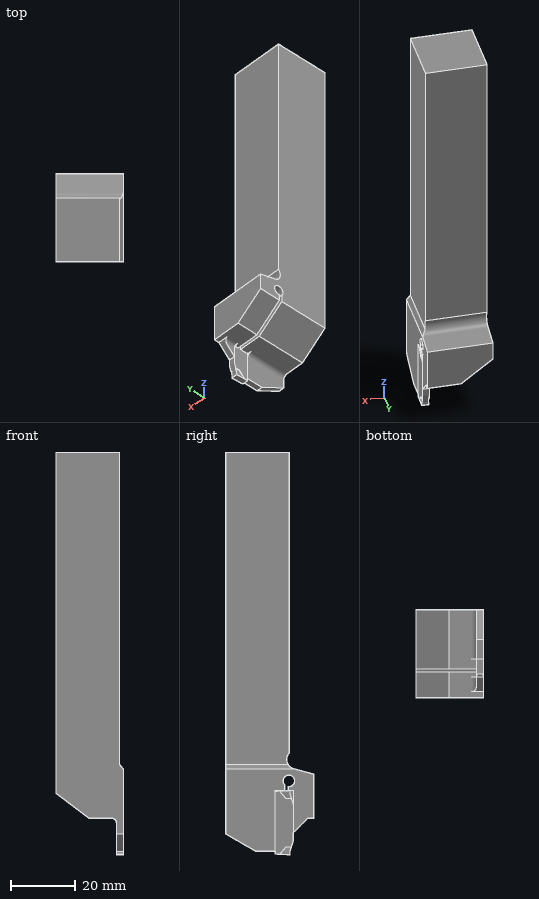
import cadquery as cq
import math

TOTAL_LENGTH = 125.0
SHANK_WIDTH = 19.8
SHANK_HEIGHT = 19.8
HEAD_WIDTH = 21.0
HEAD_HEIGHT = 27.4

BLOCK_BOTTOM_Z = 11.4
SIDE_BEVEL_WIDTH = 10.2
SIDE_BEVEL_TOP_Z = 19.1
STEP_BOTTOM_Z = 26.6
STEP_TOP_Z = 28.1

NOTCH_RADIUS = 3.0
NOTCH_DEPTH = 0.8
HEAD_CORNER_Z = 25.1
HEAD_SLOPE = math.radians(15)

BLADE_THICKNESS = 2.2
BLADE_BOTTOM_Z = 1.1
BLADE_FILLET = 1.5
HEEL_TOP_Z = 6.5
HEEL_SLOPE = math.radians(30)
JAW_START_Y = 25.5

CLAMP_HOLE_RADIUS = 1.8
CLAMP_HOLE_Y = 19.6
CLAMP_HOLE_Z = 23.0
SLOT_WIDTH = 1.0
SLOT_CENTRE_Y = 18.9

INSERT_LENGTH = 20.0
INSERT_SEAT_Y = 15.4
INSERT_TOP_Y = 21.0
INSERT_TIP_Y = 20.0
INSERT_HEEL_RISE = 0.2
RAKE_LAND = 1.1
RAKE_END = 4.2
FLANK_START = 0.5
FLANK_END = 2.5
FLANK_SEAT_Y = 17.0
FLANK_STEP_Y = 18.8
FLANK_DEPTH = 0.19

BLADE_X = HEAD_WIDTH - BLADE_THICKNESS


def front_body():
    """Outline in X and Z: shank, stepped head, bevelled block and thin blade."""
    return (
        cq.Workplane("XZ")
        .moveTo(0, TOTAL_LENGTH)
        .lineTo(0, SIDE_BEVEL_TOP_Z)
        .lineTo(SIDE_BEVEL_WIDTH, BLOCK_BOTTOM_Z)
        .lineTo(BLADE_X - BLADE_FILLET, BLOCK_BOTTOM_Z)
        .radiusArc((BLADE_X, BLOCK_BOTTOM_Z - BLADE_FILLET), BLADE_FILLET)
        .lineTo(BLADE_X, 0)
        .lineTo(HEAD_WIDTH, 0)
        .lineTo(HEAD_WIDTH, STEP_BOTTOM_Z)
        .lineTo(SHANK_WIDTH, STEP_TOP_Z)
        .lineTo(SHANK_WIDTH, TOTAL_LENGTH)
        .close()
        .extrude(-HEAD_HEIGHT)
    )


def side_body():
    """Outline in Y and Z: shank, relief notch, head, clamping jaw and blade heel."""
    centre_y = SHANK_HEIGHT - NOTCH_DEPTH + NOTCH_RADIUS
    tangent_y = centre_y - NOTCH_RADIUS * math.sin(HEAD_SLOPE)
    tangent_z = HEAD_CORNER_Z + (HEAD_HEIGHT - tangent_y) * math.tan(HEAD_SLOPE)
    centre_z = tangent_z + NOTCH_RADIUS * math.cos(HEAD_SLOPE)
    notch_top_z = centre_z + math.sqrt(NOTCH_RADIUS**2 - (centre_y - SHANK_HEIGHT) ** 2)

    heel_length = (HEEL_TOP_Z - BLADE_BOTTOM_Z) / math.tan(HEEL_SLOPE)
    jaw_drop = JAW_START_Y - INSERT_TOP_Y

    return (
        cq.Workplane("YZ")
        .moveTo(0, TOTAL_LENGTH)
        .lineTo(SHANK_HEIGHT, TOTAL_LENGTH)
        .lineTo(SHANK_HEIGHT, notch_top_z)
        .threePointArc((centre_y - NOTCH_RADIUS, centre_z), (tangent_y, tangent_z))
        .lineTo(HEAD_HEIGHT, HEAD_CORNER_Z)
        .lineTo(HEAD_HEIGHT, BLOCK_BOTTOM_Z)
        .lineTo(JAW_START_Y, BLOCK_BOTTOM_Z)
        .lineTo(INSERT_TOP_Y, BLOCK_BOTTOM_Z - jaw_drop)
        .lineTo(INSERT_TOP_Y, BLADE_BOTTOM_Z)
        .lineTo(heel_length, BLADE_BOTTOM_Z)
        .lineTo(0, HEEL_TOP_Z)
        .close()
        .extrude(HEAD_WIDTH)
    )


def box_between(low, high):
    """Box spanning two opposite corners."""
    size = [b - a for a, b in zip(low, high)]
    return cq.Workplane("XY").box(*size, centered=False).translate(low)


def insert_pocket():
    """Seat for the insert, opened through the fillet beside it."""
    seat = box_between((BLADE_X, INSERT_SEAT_Y, 0), (HEAD_WIDTH, INSERT_TOP_Y, INSERT_LENGTH))
    fillet_gap = box_between(
        (BLADE_X - BLADE_FILLET, INSERT_SEAT_Y, 0), (BLADE_X, INSERT_TOP_Y, BLOCK_BOTTOM_Z)
    )
    return seat.union(fillet_gap)


def clamping_slot():
    """Narrow slot that ends in a round hole, so that the jaw can flex."""
    hole = (
        cq.Workplane("YZ")
        .center(CLAMP_HOLE_Y, CLAMP_HOLE_Z)
        .circle(CLAMP_HOLE_RADIUS)
        .extrude(HEAD_WIDTH)
    )
    half_width = SLOT_WIDTH / 2
    slot = box_between(
        (0, SLOT_CENTRE_Y - half_width, BLOCK_BOTTOM_Z),
        (HEAD_WIDTH, SLOT_CENTRE_Y + half_width, CLAMP_HOLE_Z),
    )
    return hole.union(slot)


def make_holder():
    """Shank, head and blade in one piece."""
    return front_body().intersect(side_body()).cut(insert_pocket()).cut(clamping_slot())


def flank_relief():
    """Pair of wedges that narrow the insert behind its lower cutting edge."""
    far_wedge = (
        cq.Workplane("XZ")
        .moveTo(HEAD_WIDTH, FLANK_START)
        .lineTo(HEAD_WIDTH, FLANK_END)
        .lineTo(HEAD_WIDTH - FLANK_DEPTH, FLANK_END)
        .close()
        .extrude(-HEAD_HEIGHT)
    )
    near_wedge = far_wedge.mirror("YZ", (BLADE_X + BLADE_THICKNESS / 2, 0, 0))
    region = (
        cq.Workplane("YZ")
        .moveTo(FLANK_SEAT_Y, FLANK_START)
        .lineTo(FLANK_STEP_Y, FLANK_END)
        .lineTo(HEAD_HEIGHT, FLANK_END)
        .lineTo(HEAD_HEIGHT, FLANK_START)
        .close()
        .extrude(HEAD_WIDTH)
    )
    return far_wedge.union(near_wedge).intersect(region)


def make_insert():
    """Insert with a cutting edge at both ends, symmetric about its middle."""
    middle_z = INSERT_LENGTH / 2
    lower_half = (
        cq.Workplane("YZ")
        .workplane(offset=BLADE_X)
        .moveTo(INSERT_SEAT_Y, middle_z)
        .lineTo(INSERT_SEAT_Y, INSERT_HEEL_RISE)
        .lineTo(INSERT_TIP_Y, 0)
        .lineTo(INSERT_TIP_Y, RAKE_LAND)
        .lineTo(INSERT_TOP_Y, RAKE_END)
        .lineTo(INSERT_TOP_Y, middle_z)
        .close()
        .extrude(BLADE_THICKNESS)
        .cut(flank_relief())
    )
    upper_half = lower_half.mirror("XY", (0, 0, middle_z))
    return lower_half.union(upper_half, clean=True)


holder = make_holder()
insert = make_insert()

result = cq.Compound.makeCompound([holder.val(), insert.val()])